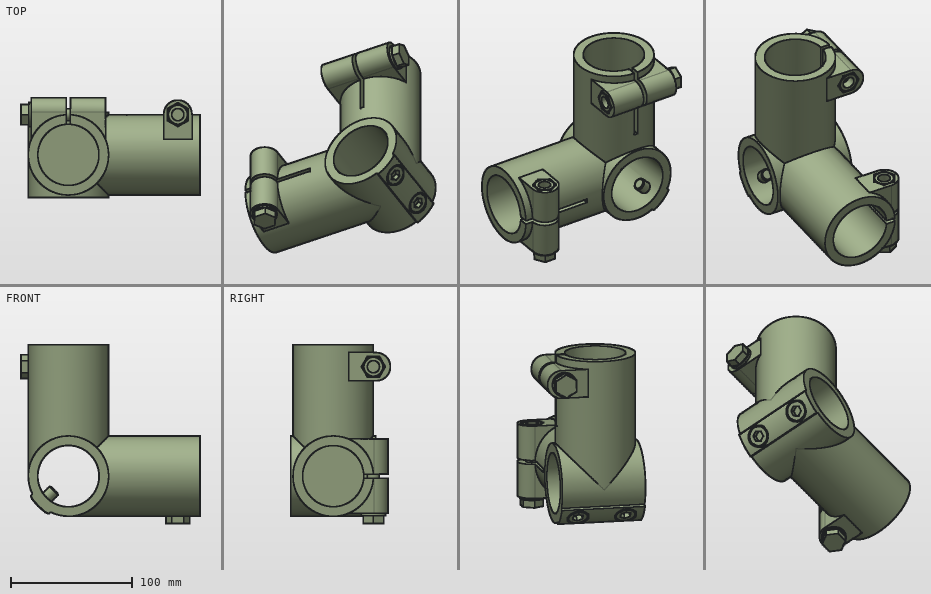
import cadquery as cq
import math

TUBE_D = 66.0
BORE_D = 50.2
ARM_LENGTH = 108.0
ARM_BORE_FLOOR = TUBE_D / 2
THROUGH_LENGTH = 70.0

SLIT_WIDTH = 3.2
SLIT_LENGTH = 60.0
LUG_WIDTH = 23.3
LUG_SPAN = 61.0
LUG_POSITION = 89.8
Z_LUG_REACH = 47.0
X_LUG_REACH = 45.0

BOLT_OFFSET = TUBE_D / 2
BOLT_D = 10.0
HEAD_FLATS = 17.0
HEAD_HEIGHT = 6.4
WASHER_D = 20.0
WASHER_THICKNESS = 2.0
NUT_FLATS = 16.0
NUT_HEIGHT = 8.0
NUT_FACE_D = 15.6
NUT_CHAMFER_ANGLE = 30.0
NUT_POCKET_FLATS = 17.0

PAD_RADIUS = 35.0
PAD_WIDTH = 21.0
PAD_ANGLE = 225.0
SCREW_SPACING = 40.0
SCREW_D = 16.0
SCREW_FACE = 34.5
SCREW_RECESS_D = 18.0
SCREW_RECESS_FLOOR = 32.0
SOCKET_FLATS = 8.0
SOCKET_DEPTH = 5.0
TIP_D = 10.0
TIP_END = 16.2
TIP_END_D = 8.0
TIP_CHAMFER_LENGTH = 0.7


def hexagon_diameter(flats):
    """Diameter across corners of a hexagon with the given width across flats."""
    return flats / math.cos(math.pi / 6)


def cylinder(diameter, start, end):
    """Cylinder along Z between two heights."""
    return cq.Workplane("XY").workplane(offset=start).circle(diameter / 2).extrude(end - start)


def hex_prism(flats, start, end):
    """Hexagonal prism along Z, with two corners on the X axis."""
    return (
        cq.Workplane("XY").workplane(offset=start)
        .polygon(6, hexagon_diameter(flats)).extrude(end - start)
    )


def on_bolt_axis(body):
    """Move a body built along Z onto the clamp bolt axis of the Z arm, pointing to +X."""
    return body.rotate((0, 0, 0), (0, 1, 0), 90).translate((0, BOLT_OFFSET, LUG_POSITION))


def quarter_turn(body):
    """Turn a body about Z, which brings hexagon corners from the X axis onto the Y axis."""
    return body.rotate((0, 0, 0), (0, 0, 1), 90)


def swap_x_and_z(body):
    """Mirror a body of the Z arm onto the X arm."""
    return body.mirror((1, 0, -1))


def clamp_lug(reach):
    """Lug block of the Z arm, rounded at its free end."""
    radius = LUG_WIDTH / 2
    return (
        cq.Workplane("YZ").workplane(offset=-LUG_SPAN / 2)
        .moveTo(0, LUG_POSITION - radius)
        .lineTo(reach - radius, LUG_POSITION - radius)
        .threePointArc((reach, LUG_POSITION), (reach - radius, LUG_POSITION + radius))
        .lineTo(0, LUG_POSITION + radius)
        .close()
        .extrude(LUG_SPAN)
    )


def arm_outside(lug_reach):
    """Solid tube of the Z arm with its clamp lug."""
    return cylinder(TUBE_D, 0, ARM_LENGTH).union(clamp_lug(lug_reach))


def arm_cavity(lug_reach):
    """Blind bore, clamping slit and hexagonal nut pocket of the Z arm."""
    bore = cylinder(BORE_D, ARM_BORE_FLOOR, ARM_LENGTH)
    slit = cq.Workplane("XY").box(
        SLIT_WIDTH, lug_reach, SLIT_LENGTH, centered=(True, False, False)
    ).translate((0, 0, ARM_LENGTH - SLIT_LENGTH))
    pocket = hex_prism(NUT_POCKET_FLATS, LUG_SPAN / 2 - NUT_HEIGHT, LUG_SPAN / 2)
    return bore.union(slit).union(on_bolt_axis(quarter_turn(pocket)))


def clamp_nut():
    """Hexagonal nut with a conical chamfer, flush with the lug face."""
    face = LUG_SPAN / 2
    base = face - NUT_HEIGHT
    corner_radius = hexagon_diameter(NUT_FLATS) / 2
    chamfer_drop = (corner_radius - NUT_FACE_D / 2) * math.tan(math.radians(NUT_CHAMFER_ANGLE))
    envelope = (
        cq.Workplane("XZ")
        .moveTo(BOLT_D / 2, base)
        .lineTo(corner_radius, base)
        .lineTo(corner_radius, face - chamfer_drop)
        .lineTo(NUT_FACE_D / 2, face)
        .lineTo(BOLT_D / 2, face)
        .close()
        .revolve(360, (0, 0, 0), (0, 1, 0))
    )
    return quarter_turn(hex_prism(NUT_FLATS, base, face).intersect(envelope))


def clamp_fastener():
    """Bolt, washer and nut of the Z arm; the head is on the -X side."""
    lug_face = -LUG_SPAN / 2
    washer_face = lug_face - WASHER_THICKNESS
    shank = cylinder(BOLT_D, lug_face, LUG_SPAN / 2 - NUT_HEIGHT)
    washer = cylinder(WASHER_D, washer_face, lug_face)
    head = hex_prism(HEAD_FLATS, washer_face - HEAD_HEIGHT, washer_face)
    return on_bolt_axis(shank.union(washer).union(head).union(clamp_nut()))


def on_pad(body, y):
    """Turn a body built along Z to point at the pad, halfway between -X and -Z."""
    return body.rotate((0, 0, 0), (0, 1, 0), PAD_ANGLE).translate((0, y, 0))


def screw_pad():
    """Raised strip along the Y tube."""
    strip = cq.Workplane("XY").box(
        PAD_WIDTH, THROUGH_LENGTH, PAD_RADIUS, centered=(True, True, False)
    )
    limit = cq.Workplane("XZ").circle(PAD_RADIUS).extrude(THROUGH_LENGTH / 2, both=True)
    return on_pad(strip, 0).intersect(limit)


def set_screw():
    """Socket set screw along Z, ending in a narrower tip inside the bore."""
    tip_chamfer_start = TIP_END + TIP_CHAMFER_LENGTH
    return (
        cq.Workplane("XZ")
        .moveTo(0, TIP_END)
        .lineTo(TIP_END_D / 2, TIP_END)
        .lineTo(TIP_D / 2, tip_chamfer_start)
        .lineTo(TIP_D / 2, SCREW_RECESS_FLOOR)
        .lineTo(SCREW_D / 2, SCREW_RECESS_FLOOR)
        .lineTo(SCREW_D / 2, SCREW_FACE)
        .lineTo(0, SCREW_FACE)
        .close()
        .revolve(360, (0, 0, 0), (0, 1, 0))
    )


def make_node():
    """Three joined tubes with their bores, clamps and screw pad."""
    body = cq.Workplane("XZ").circle(TUBE_D / 2).extrude(THROUGH_LENGTH / 2, both=True)
    body = body.union(screw_pad())
    body = body.union(arm_outside(Z_LUG_REACH))
    body = body.union(swap_x_and_z(arm_outside(X_LUG_REACH)))
    body = body.cut(cq.Workplane("XZ").circle(BORE_D / 2).extrude(THROUGH_LENGTH / 2, both=True))
    body = body.cut(arm_cavity(Z_LUG_REACH))
    return body.cut(swap_x_and_z(arm_cavity(X_LUG_REACH)))


def add_set_screws(body):
    """Recess the pad around each set screw and fit the screw with its hexagon socket."""
    recess = cylinder(SCREW_RECESS_D, SCREW_RECESS_FLOOR, PAD_RADIUS)
    socket = hex_prism(SOCKET_FLATS, SCREW_FACE - SOCKET_DEPTH, SCREW_FACE)
    for y in (-SCREW_SPACING / 2, SCREW_SPACING / 2):
        body = body.cut(on_pad(recess, y))
        body = body.union(on_pad(set_screw(), y))
        body = body.cut(on_pad(socket, y))
    return body


result = make_node()
result = result.union(clamp_fastener())
result = result.union(swap_x_and_z(clamp_fastener()))
result = add_set_screws(result)